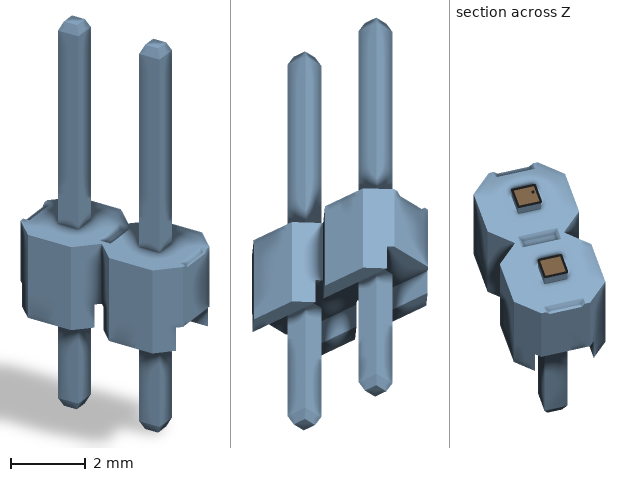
import cadquery as cq

pin_count = 2
pitch = 2.54
corner_chamfer = 0.59
body_height = 2.5

pin_length = 11.6
pin_width = 0.64
tip_width = 0.41
tip_height = 0.25
pin_below_body = 3.0

channel_width = 1.64
channel_height = 0.7

notch_width = 0.4
notch_length = 1.09
notch_depth = 0.1
notch_floor_width = notch_width - 2 * notch_depth
notch_floor_length = notch_length - 2 * notch_depth

row_length = pin_count * pitch
body_bottom = pin_below_body
body_top = body_bottom + body_height
cell_centres = [(i + 0.5) * pitch - row_length / 2 for i in range(pin_count)]
cell_boundaries = [i * pitch - row_length / 2 for i in range(pin_count + 1)]


def frustum(x, start_z, start_size, end_z, end_size):
    """Rectangular taper between two (X size, Y size) sections."""
    return (
        cq.Workplane("XY", origin=(x, 0, start_z))
        .rect(*start_size)
        .workplane(offset=end_z - start_z)
        .rect(*end_size)
        .loft(ruled=True)
    )


def insulator_cell(x):
    return (
        cq.Workplane("XY", origin=(x, 0, body_bottom))
        .rect(pitch, pitch)
        .extrude(body_height)
        .edges("|Z")
        .chamfer(corner_chamfer)
    )


def notch(x):
    mouth = (notch_width, notch_length)
    floor = (notch_floor_width, notch_floor_length)
    return frustum(x, body_top, mouth, body_top - notch_depth, floor)


def pin(x):
    shank_size = (pin_width, pin_width)
    tip_size = (tip_width, tip_width)
    shank_bottom = tip_height
    shank_top = pin_length - tip_height
    shank = (
        cq.Workplane("XY", origin=(x, 0, shank_bottom))
        .rect(*shank_size)
        .extrude(shank_top - shank_bottom)
    )
    lower_tip = frustum(x, shank_bottom, shank_size, 0, tip_size)
    upper_tip = frustum(x, shank_top, shank_size, pin_length, tip_size)
    return shank.union(lower_tip).union(upper_tip)


body = cq.Workplane("XY")
for x in cell_centres:
    body = body.union(insulator_cell(x))

channel = (
    cq.Workplane("XY", origin=(0, 0, body_bottom))
    .rect(row_length, channel_width)
    .extrude(channel_height)
)
body = body.cut(channel)

for x in cell_boundaries:
    body = body.cut(notch(x))

for x in cell_centres:
    body = body.union(pin(x))

result = body